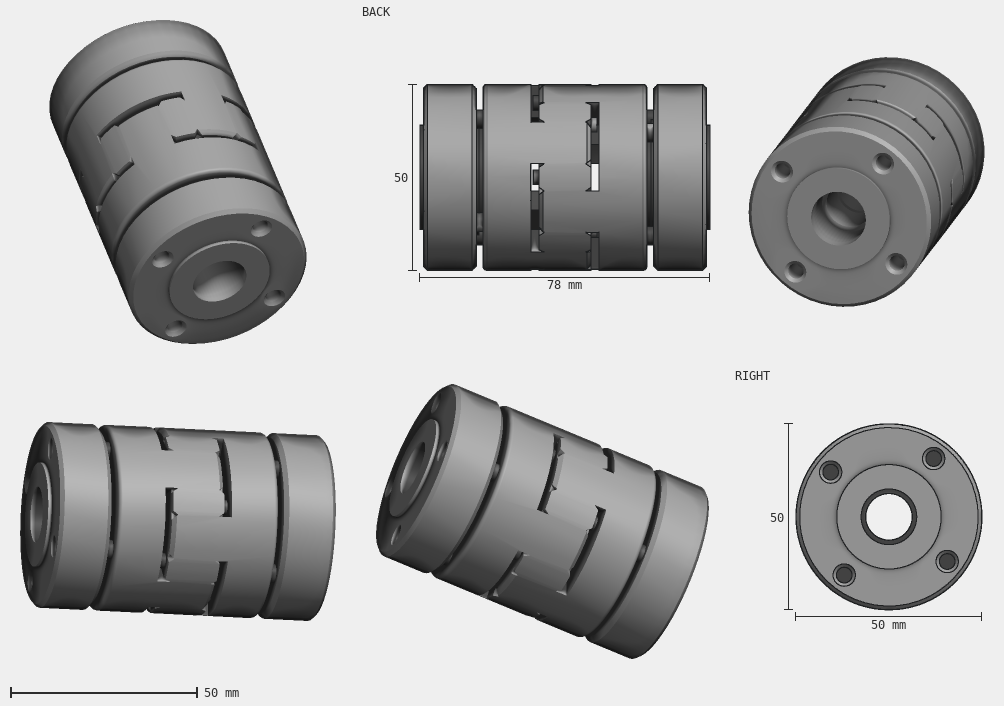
import cadquery as cq
import math

LENGTH = 78.0
OUTER_DIA = 50.0
BORE_DIA = 12.5

BOSS_DIA = 28.1
BOSS_HEIGHT = 1.0
FLANGE_INNER_X = 23.8
FLANGE_OUTER_CHAMFER = 1.0
FLANGE_INNER_CHAMFER = 1.2
FLANGE_BORE_DIA = 15.0

SLEEVE_END_X = 22.0
SLEEVE_EDGE_RADIUS = 1.0
NECK_STEP_X = 23.1
NECK_LARGE_DIA = 31.0
NECK_SMALL_DIA = 29.0
PIN_DIA = 5.0
PIN_CIRCLE_RADIUS = 19.7
LEFT_PIN_ANGLE = 37.5

SCREW_HOLE_DIA = 4.2
SCREW_HOLE_DEPTH = 11.7
SCREW_SINK_DIA = 6.0

GAP_INNER_X = 7.0
GAP_OUTER_X = 9.1
GAP_BORE_RADIUS = 16.5
LAND_FLANK_OFFSET = 3.7
LAND_SPREAD = 45.0
LEFT_LAND_ANGLE = 67.5

BEVEL_SIZE = 1.1
GROOVE_DEPTH = 1.4
GROOVE_HALF_WIDTH = 1.0
GROOVE_LENGTH = 2.35

STUD_DIA = 4.0
STUD_HEIGHT = 1.55
STUD_CIRCLE_RADIUS = 20.0
LEFT_STUD_ANGLE = 45.0
RIGHT_STUD_ANGLE = 0.0

QUARTERS = [0, 90, 180, 270]
OUTER_RADIUS = OUTER_DIA / 2
END_X = LENGTH / 2
FLANGE_FACE_X = END_X - BOSS_HEIGHT


def cylinder(start_x, end_x, diameter):
    plane = cq.Workplane("YZ").workplane(offset=start_x)
    return plane.circle(diameter / 2).extrude(end_x - start_x)


def at_quarters(body, first_angle):
    """Four copies of a body around X, the first turned from +Y to first_angle."""
    copies = cq.Workplane("XY")
    for quarter in QUARTERS:
        copies = copies.add(body.rotate((0, 0, 0), (1, 0, 0), first_angle + quarter))
    return copies.combine()


def wedge(start_x, end_x):
    """Wedge pointing along +Y whose flanks open by LAND_SPREAD from an apex near the axis."""
    half_spread = math.radians(LAND_SPREAD / 2)
    apex_y = LAND_FLANK_OFFSET / math.sin(half_spread)
    reach = 2 * OUTER_RADIUS
    half_width = (reach - apex_y) * math.tan(half_spread)
    plane = cq.Workplane("YZ").workplane(offset=start_x)
    outline = plane.polyline([(apex_y, 0), (reach, half_width), (reach, -half_width)]).close()
    return outline.extrude(end_x - start_x)


def lands():
    ring = cylinder(-GAP_OUTER_X, -GAP_INNER_X, OUTER_DIA)
    ring = ring.cut(cylinder(-GAP_OUTER_X, -GAP_INNER_X, 2 * GAP_BORE_RADIUS))
    return ring.intersect(at_quarters(wedge(-GAP_OUTER_X, -GAP_INNER_X), LEFT_LAND_ANGLE))


def bevelled_notches():
    """Conical bevel on the rim of the middle section, kept only between the lands."""
    profile = [
        (-GAP_INNER_X, OUTER_RADIUS - BEVEL_SIZE),
        (-GAP_INNER_X, OUTER_RADIUS),
        (-GAP_INNER_X + BEVEL_SIZE, OUTER_RADIUS),
    ]
    bevel = cq.Workplane("XY").polyline(profile).close().revolve(360, (0, 0, 0), (1, 0, 0))
    notch_wedge = wedge(-GAP_INNER_X, -GAP_INNER_X + BEVEL_SIZE)
    return bevel.intersect(at_quarters(notch_wedge, LEFT_LAND_ANGLE + LAND_SPREAD))


def flank_grooves():
    """V grooves along the land and notch flanks, open only where no land stands."""
    grooves = cq.Workplane("XY")
    for side in (-1, 1):
        flank_z = side * LAND_FLANK_OFFSET
        outline = [
            (-GAP_INNER_X, flank_z - GROOVE_HALF_WIDTH),
            (-GAP_INNER_X, flank_z + GROOVE_HALF_WIDTH),
            (-GAP_INNER_X + GROOVE_DEPTH, flank_z),
        ]
        plane = cq.Workplane("XZ", origin=(0, OUTER_RADIUS, 0))
        groove = plane.polyline(outline).close().extrude(GROOVE_LENGTH)
        for eighth in (0, LAND_SPREAD):
            grooves = grooves.add(at_quarters(groove, eighth))
    land_roots = at_quarters(wedge(-GAP_INNER_X, -GAP_INNER_X + GROOVE_DEPTH), LEFT_LAND_ANGLE)
    return grooves.combine().cut(land_roots)


def screw_hole():
    hole = cylinder(-FLANGE_FACE_X, -FLANGE_FACE_X + SCREW_HOLE_DEPTH, SCREW_HOLE_DIA)
    sink_depth = (SCREW_SINK_DIA - SCREW_HOLE_DIA) / 2
    sink_profile = [
        (-FLANGE_FACE_X, 0),
        (-FLANGE_FACE_X, SCREW_SINK_DIA / 2),
        (-FLANGE_FACE_X + sink_depth, SCREW_HOLE_DIA / 2),
        (-FLANGE_FACE_X + sink_depth, 0),
    ]
    sink = cq.Workplane("XY").polyline(sink_profile).close().revolve(360, (0, 0, 0), (1, 0, 0))
    return hole.union(sink).translate((0, PIN_CIRCLE_RADIUS, 0))


def end_section():
    """Flange, neck, pins, sleeve end, lands and screw holes on the -X side."""
    flange = cylinder(-FLANGE_FACE_X, -FLANGE_INNER_X, OUTER_DIA)
    flange = flange.edges("<X").chamfer(FLANGE_OUTER_CHAMFER)
    flange = flange.edges(">X").chamfer(FLANGE_INNER_CHAMFER)
    boss = cylinder(-END_X, -FLANGE_FACE_X, BOSS_DIA)
    neck = cylinder(-FLANGE_INNER_X, -NECK_STEP_X, NECK_LARGE_DIA)
    neck = neck.union(cylinder(-NECK_STEP_X, -SLEEVE_END_X, NECK_SMALL_DIA))
    sleeve = cylinder(-SLEEVE_END_X, -GAP_OUTER_X, OUTER_DIA).edges("<X").fillet(SLEEVE_EDGE_RADIUS)
    pin = cylinder(-FLANGE_INNER_X, -SLEEVE_END_X, PIN_DIA).translate((0, PIN_CIRCLE_RADIUS, 0))
    section = flange.union(boss).union(neck).union(sleeve).union(lands())
    section = section.union(at_quarters(pin, LEFT_PIN_ANGLE))
    section = section.cut(at_quarters(screw_hole(), LEFT_PIN_ANGLE))
    return section.cut(cylinder(-END_X, -FLANGE_INNER_X, FLANGE_BORE_DIA))


def studs(start_x, first_angle):
    stud = cylinder(start_x, start_x + STUD_HEIGHT, STUD_DIA)
    return at_quarters(stud.translate((0, STUD_CIRCLE_RADIUS, 0)), first_angle)


def opposite_end(body):
    return body.rotate((0, 0, 0), (0, 1, 0), 180)


left_end = end_section()
gap_wall_cuts = bevelled_notches().union(flank_grooves())

middle = cylinder(-GAP_INNER_X, GAP_INNER_X, OUTER_DIA)
middle = middle.cut(gap_wall_cuts).cut(opposite_end(gap_wall_cuts))
middle = middle.union(studs(-GAP_INNER_X - STUD_HEIGHT, LEFT_STUD_ANGLE))
middle = middle.union(studs(GAP_INNER_X, RIGHT_STUD_ANGLE))

result = middle.union(left_end).union(opposite_end(left_end))
result = result.cut(cylinder(-END_X, END_X, BORE_DIA))